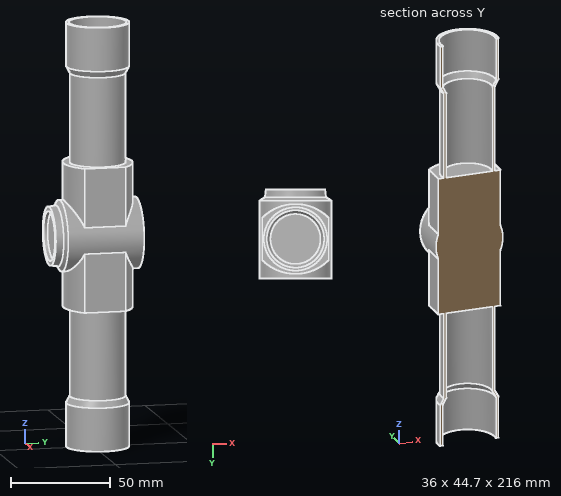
import cadquery as cq

total_length = 216.0

tube_diameter = 28.0
tube_bore_diameter = 25.0
socket_diameter = 31.8
socket_bore_diameter = 28.7
socket_length = 22.2
socket_taper_length = 3.5

body_length = 73.5
body_width = 33.5
body_depth = 35.0
flat_width = 21.0

barrel_diameter = 36.0
barrel_back_reach = 19.9
barrel_front_reach = 19.2
shoulder_length = 1.7
rim_front_reach = 24.8
rim_base_diameter = 30.7
rim_tip_diameter = 29.8
window_mouth_diameter = 25.0
window_floor_diameter = 24.0
window_depth = 2.0

tube_end = total_length / 2
body_end = body_length / 2
socket_start = tube_end - socket_length
taper_start = socket_start - socket_taper_length


def make_body():
    half_width = body_width / 2
    half_depth = body_depth / 2
    half_flat = flat_width / 2
    return (
        cq.Workplane("XY", origin=(0, 0, -body_end))
        .moveTo(-half_width, -half_flat)
        .threePointArc((0, -half_depth), (half_width, -half_flat))
        .lineTo(half_width, half_flat)
        .threePointArc((0, half_depth), (-half_width, half_flat))
        .close()
        .extrude(body_length)
    )


def make_tube():
    """Upper tube: a thin wall from the body end face, widened into a solder socket."""
    wall = [
        (tube_bore_diameter / 2, body_end),
        (tube_diameter / 2, body_end),
        (tube_diameter / 2, taper_start),
        (socket_diameter / 2, socket_start),
        (socket_diameter / 2, tube_end),
        (socket_bore_diameter / 2, tube_end),
        (socket_bore_diameter / 2, socket_start),
        (tube_bore_diameter / 2, taper_start),
    ]
    return cq.Workplane("XZ").polyline(wall).close().revolve(360, (0, 0), (0, 1))


def make_barrel():
    """Barrel turned about Y, with a conical shoulder, a tapered rim and a shallow tapered window recess."""
    barrel_radius = barrel_diameter / 2
    shoulder_y = -barrel_front_reach - shoulder_length
    window_floor_y = -rim_front_reach + window_depth
    profile = [
        (0, barrel_back_reach),
        (barrel_radius, barrel_back_reach),
        (barrel_radius, -barrel_front_reach),
        (rim_base_diameter / 2, shoulder_y),
        (rim_tip_diameter / 2, -rim_front_reach),
        (window_mouth_diameter / 2, -rim_front_reach),
        (window_floor_diameter / 2, window_floor_y),
        (0, window_floor_y),
    ]
    return cq.Workplane("XY").polyline(profile).close().revolve(360, (0, 0), (0, 1))


upper_tube = make_tube()
lower_tube = upper_tube.mirror("XY")

result = make_body().union(make_barrel()).union(upper_tube).union(lower_tube)